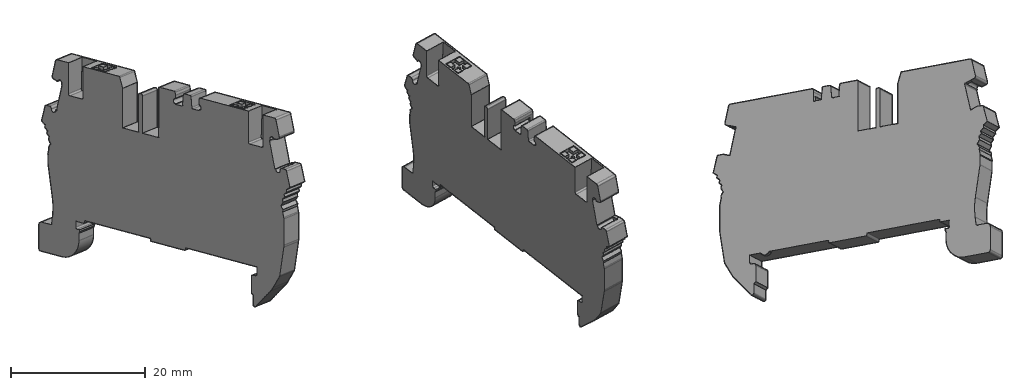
import cadquery as cq
import math

LENGTH = 47.9
THICKNESS = 3.5
HEIGHT = 30.75
MIRROR_X = 24.205
EDGE_ROUND = 0.2

OPENING_LEFT = 16.0
OPENING_RIGHT = 22.85
OPENING_FLOOR = 22.8
LEAD_IN_WIDTH = 0.57
LEAD_IN_DEPTH = 1.7
BLADE_LEFT = 19.0
BLADE_WIDTH = 0.75
BLADE_TOP = 28.9
BLADE_ROUND = 0.3

TOOTH_X = 28.3
TOOTH_TOP_WIDTH = 1.45
TOOTH_ROOT_WIDTH = 1.8
SLOTS_WIDTH = 4.4
SLOT_DEPTH = 2.0
SLOT_MOUTH_FLARE = 0.15
SLOT_FLARE_DEPTH = 0.57
SLOT_FLOOR = HEIGHT - SLOT_DEPTH

UNDERSIDE = 6.6
PAD_DEPTH = 0.45
PAD_BOTTOM = UNDERSIDE - PAD_DEPTH
PAD_LEFT = 21.3
PAD_RIGHT = 27.95
FOOT_TOP = 4.6
FOOT_RIGHT = 7.65
FOOT_ROUND = 3.25

LIP_TOP = 23.13
LIP_INNER_X = 46.05

WEB_THICKNESS = 0.57
RELIEF_DEPTH = THICKNESS - WEB_THICKNESS
RELIEF_RADIUS = 0.405
RELIEF_CLEARANCE = 0.15
UPPER_RELIEF_X = 44.45
UPPER_RELIEF_Z = 27.25
LOWER_RELIEF_X = 45.6
LOWER_RELIEF_Z = 22.75
LIP_ROUND_X = 46.45
LIP_ROUND_MIDDLE = (46.1, 23.05)
SLOT_RELIEF_Z = 29.2

BUMP_X = 38.95
BUMP_WIDTH = 1.55
BUMP_DROP = 0.45

POCKET_WIDTH = 2.75
POCKET_DEPTH = 5.1
POCKET_OFFSET = 17.15
POCKET_WALL_TOP = 0.3
POCKET_WALL_FLOOR = 0.55
POCKET_FLOOR_ROUND = 0.25

SCREW_XS = (11.1, 37.45)
SCREW_Y = 1.68
SCREW_LENGTH = 2.75
SCREW_WIDTH = 2.6
SCREW_RECESS = 0.15
CROSS_ARM_WIDTH = 0.8
CROSS_DEPTH = 0.65
CENTRE_RADIUS = 0.3
CENTRE_DEPTH = 0.3


def end_contour():
    """Right upper end, from the top corner down: corner points (x, z, rounding)."""
    return [
        (45.15, HEIGHT, 0.35),
        (45.9, 27.67, 0.35),
        (43.95, 27.05, EDGE_ROUND),
        (45.0, 22.75, 0),
        (LIP_INNER_X, LIP_TOP, 0),
        (47.15, LIP_TOP, 0.3),
        (LENGTH, 20.5, 0),
        (47.2, 20.0, 0),
        (47.25, 19.65, 0),
        (46.75, 19.15, 0),
        (46.87, 18.75, 0),
        (46.45, 18.35, 0),
        (46.55, 17.85, 0),
        (46.15, 17.25, 0),
        (46.55, 16.7, 0),
        (46.5, 16.35, 0),
        (46.7, 15.5, 0),
    ]


def mirrored(corners):
    """Corner points reflected about the mirror plane, in reverse order."""
    return [(2 * MIRROR_X - x, z, r) for x, z, r in reversed(corners)]


def top_contour():
    """Top edge from left to right, between the two upper end contours."""
    slots_left = TOOTH_X - SLOTS_WIDTH / 2
    slots_right = TOOTH_X + SLOTS_WIDTH / 2
    root = TOOTH_ROOT_WIDTH / 2
    crest = TOOTH_TOP_WIDTH / 2
    flare_z = HEIGHT - SLOT_FLARE_DEPTH
    blade_right = BLADE_LEFT + BLADE_WIDTH
    return [
        (OPENING_LEFT - LEAD_IN_WIDTH, HEIGHT, EDGE_ROUND),
        (OPENING_LEFT, HEIGHT - LEAD_IN_DEPTH, 0),
        (OPENING_LEFT, OPENING_FLOOR, 0),
        (BLADE_LEFT, OPENING_FLOOR, 0),
        (BLADE_LEFT, BLADE_TOP, BLADE_ROUND),
        (blade_right, BLADE_TOP, BLADE_ROUND),
        (blade_right, OPENING_FLOOR, 0),
        (OPENING_RIGHT, OPENING_FLOOR, 0),
        (OPENING_RIGHT, HEIGHT, EDGE_ROUND),
        (slots_left - SLOT_MOUTH_FLARE, HEIGHT, EDGE_ROUND),
        (slots_left, flare_z, 0),
        (slots_left, SLOT_FLOOR, 0),
        (TOOTH_X - root, SLOT_FLOOR, EDGE_ROUND),
        (TOOTH_X - crest, HEIGHT, EDGE_ROUND),
        (TOOTH_X + crest, HEIGHT, EDGE_ROUND),
        (TOOTH_X + root, SLOT_FLOOR, EDGE_ROUND),
        (slots_right, SLOT_FLOOR, 0),
        (slots_right, flare_z, 0),
        (slots_right + SLOT_MOUTH_FLARE, HEIGHT, EDGE_ROUND),
    ]


def hook_contour():
    """Right flank and the sprung hook, from the teeth down and in to the underside."""
    return [
        (46.75, 15.3, 0),
        (46.75, 11.0, 1.9),
        (45.9, 6.15, 0.5),
        (44.5, 3.75, 3.85),
        (41.2, 0.2, EDGE_ROUND),
        (40.85, 0.5, EDGE_ROUND),
        (40.85, 2.0, 0),
        (40.5, 2.3, 0),
        (40.5, 5.15, 0.35),
        (41.55, 5.15, 0.35),
        (41.55, UNDERSIDE, 0),
    ]


def underside_contour():
    """Underside with its centre pad, from right to left."""
    return [
        (PAD_RIGHT, UNDERSIDE, 0.1),
        (PAD_RIGHT, PAD_BOTTOM, EDGE_ROUND),
        (PAD_LEFT, PAD_BOTTOM, EDGE_ROUND),
        (PAD_LEFT, UNDERSIDE, 0.1),
        (8.75, UNDERSIDE, 0.1),
        (8.75, PAD_BOTTOM, EDGE_ROUND),
    ]


def foot_contour():
    """Fixed foot and left flank, from the rail groove round to the teeth."""
    return [
        (7.1, PAD_BOTTOM, 0),
        (7.1, 5.0, 0.25),
        (7.8, 5.0, 0),
        (7.8, 4.7, 0),
        (FOOT_RIGHT, 4.4, 0),
        (FOOT_RIGHT, 0, FOOT_ROUND),
        (0, 0, 0.4),
        (0, FOOT_TOP, 0.57),
        (2.45, FOOT_TOP, EDGE_ROUND),
        (2.82, 7.45, 10.55),
        (1.75, 13.95, 0),
        (1.75, 15.4, 0),
    ]


def rounded_outline(corners):
    """Closed XZ wire through the corner points, with a tangent arc at each rounded one."""
    path = None
    count = len(corners)
    for i, (x, z, radius) in enumerate(corners):
        corner = cq.Vector(x, z)
        before = cq.Vector(*corners[i - 1][:2])
        after = cq.Vector(*corners[(i + 1) % count][:2])
        to_before = (before - corner).normalized()
        to_after = (after - corner).normalized()
        half_angle = to_before.getAngle(to_after) / 2
        setback = radius / math.tan(half_angle)
        start = corner + to_before * setback
        end = corner + to_after * setback
        if path is None:
            path = cq.Workplane("XZ").moveTo(start.x, start.y)
        else:
            path = path.lineTo(start.x, start.y)
        if radius > 0:
            bisector = (to_before + to_after).normalized()
            middle = corner + bisector * (radius / math.sin(half_angle) - radius)
            path = path.threePointArc((middle.x, middle.y), (end.x, end.y))
    return path.close()


def body():
    right_end = end_contour()
    corners = (
        mirrored(right_end)
        + top_contour()
        + right_end
        + hook_contour()
        + underside_contour()
        + foot_contour()
    )
    return rounded_outline(corners).extrude(-THICKNESS)


def round_reliefs():
    """Round reliefs under the upper lips and at the outer walls of the latch slots."""
    upper_offset = UPPER_RELIEF_X - MIRROR_X
    centres = []
    for side in (-1, 1):
        centres.append((MIRROR_X + side * upper_offset, UPPER_RELIEF_Z))
        centres.append((TOOTH_X + side * SLOTS_WIDTH / 2, SLOT_RELIEF_Z))
    return cq.Workplane("XZ").pushPoints(centres).circle(RELIEF_RADIUS).extrude(-RELIEF_DEPTH)


def lower_lip_reliefs():
    """Reliefs behind the lower lips: a round bottom, and a rounding up to the lip top."""
    outer_x = LOWER_RELIEF_X + RELIEF_RADIUS
    inner_x = LOWER_RELIEF_X - RELIEF_RADIUS
    right = (
        cq.Workplane("XZ")
        .moveTo(LIP_ROUND_X, LIP_TOP)
        .threePointArc(LIP_ROUND_MIDDLE, (outer_x, LOWER_RELIEF_Z))
        .threePointArc(
            (LOWER_RELIEF_X, LOWER_RELIEF_Z - RELIEF_RADIUS),
            (inner_x, LOWER_RELIEF_Z),
        )
        .lineTo(inner_x, LIP_TOP + RELIEF_CLEARANCE)
        .lineTo(LIP_ROUND_X, LIP_TOP + RELIEF_CLEARANCE)
        .close()
        .extrude(-RELIEF_DEPTH)
    )
    left = right.mirror("YZ", (MIRROR_X, 0, 0))
    return right.union(left)


def bump():
    """Circular-segment bump; its arc starts on the underside."""
    return (
        cq.Workplane("XZ", origin=(BUMP_X, THICKNESS, UNDERSIDE))
        .moveTo(-BUMP_WIDTH / 2, 0)
        .threePointArc((0, -BUMP_DROP), (BUMP_WIDTH / 2, 0))
        .close()
        .extrude(WEB_THICKNESS)
    )


def pocket(x):
    """Pocket cutter: rounded along both sides of the floor, with a sloping rear wall."""
    floor = HEIGHT - POCKET_DEPTH
    left = x - POCKET_WIDTH / 2
    right = x + POCKET_WIDTH / 2
    front_shape = [
        (left, HEIGHT, 0),
        (right, HEIGHT, 0),
        (right, floor, POCKET_FLOOR_ROUND),
        (left, floor, POCKET_FLOOR_ROUND),
    ]
    side_shape = [
        (0, HEIGHT),
        (THICKNESS - POCKET_WALL_TOP, HEIGHT),
        (THICKNESS - POCKET_WALL_FLOOR, floor),
        (0, floor),
    ]
    side_plane = cq.Workplane("YZ", origin=(left, 0, 0))
    side_block = side_plane.polyline(side_shape).close().extrude(POCKET_WIDTH)
    return rounded_outline(front_shape).extrude(-THICKNESS).intersect(side_block)


def screw_well(x):
    """Cutter for one screw well."""
    top = cq.Workplane("XY", origin=(x, SCREW_Y, HEIGHT))
    recess = top.rect(SCREW_LENGTH, SCREW_WIDTH).extrude(-SCREW_RECESS)
    arm_x = top.rect(SCREW_LENGTH, CROSS_ARM_WIDTH).extrude(-CROSS_DEPTH)
    arm_y = top.rect(CROSS_ARM_WIDTH, SCREW_WIDTH).extrude(-CROSS_DEPTH)
    point = cq.Solid.makeCone(
        CENTRE_RADIUS,
        0,
        CENTRE_DEPTH,
        pnt=cq.Vector(x, SCREW_Y, HEIGHT - CROSS_DEPTH),
        dir=cq.Vector(0, 0, -1),
    )
    return recess.union(arm_x).union(arm_y).union(cq.Workplane(point))


result = body().cut(round_reliefs()).cut(lower_lip_reliefs()).union(bump())
for side in (-1, 1):
    result = result.cut(pocket(MIRROR_X + side * POCKET_OFFSET))
for screw_x in SCREW_XS:
    result = result.cut(screw_well(screw_x))